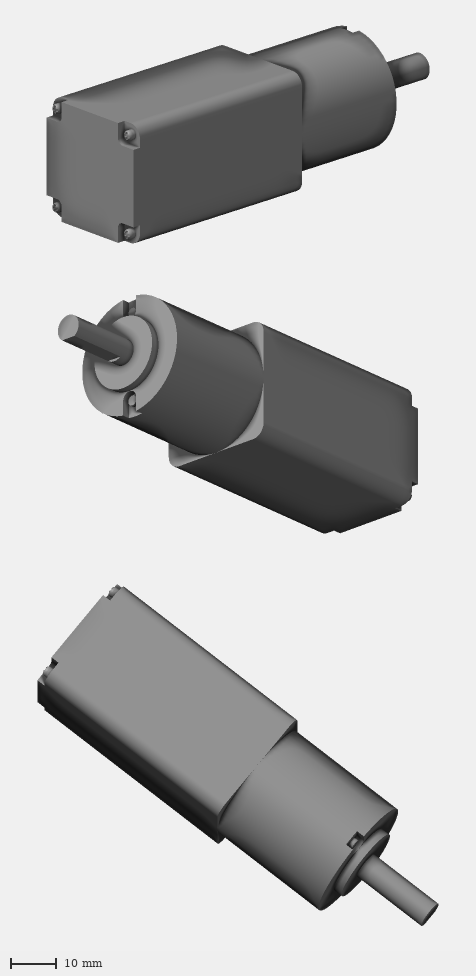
import cadquery as cq


housing_width = 28.0
housing_length = 50.5
housing_corner_radius = 3.1

gearbox_length = 28.3
pilot_diameter = 17.0
pilot_length = 2.1
shaft_diameter = 6.1
total_length = 98.9
flat_length = 15.0
flat_depth = 0.6

pocket_width = 4.9
pocket_depth = 2
pocket_corner_radius = 1.5
cover_screw_inset = 2.5
cover_head_diameter = 2.4
cover_head_height = 1.9
cover_head_rounding = 0.9
cross_length = 1.8
cross_width = 0.7
cross_depth = 0.7

gearbox_screw_offset = 10.5
gearbox_slot_width = 3.9
gearbox_slot_depth = 1.9
gearbox_head_diameter = 2.4
gearbox_head_height = 1

gearbox_end = housing_length + gearbox_length
pilot_end = gearbox_end + pilot_length
slot_floor = gearbox_end - gearbox_slot_depth


def section(y):
    """Workplane across the motor at Y = y, with its normal along +Y.

    Local y is global Z, local x is global -X.
    """
    return cq.Workplane(cq.Plane(origin=(0, y, 0), xDir=(-1, 0, 0), normal=(0, 1, 0)))


def make_housing():
    block = section(0).rect(housing_width, housing_width).extrude(housing_length)
    return block.edges("|Y").fillet(housing_corner_radius)


def make_gearbox():
    gearbox = section(housing_length).circle(housing_width / 2).extrude(gearbox_length)
    pilot = section(gearbox_end).circle(pilot_diameter / 2).extrude(pilot_length)
    return gearbox.union(pilot)


def make_shaft():
    shaft = section(pilot_end).circle(shaft_diameter / 2).extrude(total_length - pilot_end)
    flat_height = flat_depth - shaft_diameter / 2
    flat = (
        section(total_length - flat_length)
        .center(0, flat_height - shaft_diameter / 2)
        .rect(shaft_diameter, shaft_diameter)
        .extrude(flat_length)
    )
    return shaft.cut(flat)


def make_corner_pockets():
    """Four pockets that leave a rounded inner corner on the cover face."""
    return (
        section(0)
        .rect(housing_width, housing_width, forConstruction=True)
        .vertices()
        .rect(2 * pocket_width, 2 * pocket_width)
        .extrude(pocket_depth)
        .edges("|Y")
        .fillet(pocket_corner_radius)
    )


def make_cover_screws():
    """Four round-edged screw heads with a cross recess."""
    spacing = housing_width - 2 * cover_screw_inset
    head_top = pocket_depth - cover_head_height

    def at_screws(y):
        return section(y).rect(spacing, spacing, forConstruction=True).vertices()

    heads = at_screws(head_top).circle(cover_head_diameter / 2).extrude(cover_head_height)
    heads = heads.faces("<Y").edges().fillet(cover_head_rounding)
    for width, height in ((cross_length, cross_width), (cross_width, cross_length)):
        heads = heads.cut(at_screws(head_top).rect(width, height).extrude(cross_depth))
    return heads


def make_gearbox_slot(side):
    """Round-bottomed slot open outward in Z; side is +1 or -1."""
    center = side * gearbox_screw_offset
    round_end = (
        section(slot_floor).center(0, center).circle(gearbox_slot_width / 2).extrude(gearbox_slot_depth)
    )
    opening = (
        section(slot_floor)
        .center(0, center + side * gearbox_slot_width / 2)
        .rect(gearbox_slot_width, gearbox_slot_width)
        .extrude(gearbox_slot_depth)
    )
    return round_end.union(opening)


def make_gearbox_head(side):
    return (
        section(slot_floor)
        .center(0, side * gearbox_screw_offset)
        .circle(gearbox_head_diameter / 2)
        .extrude(gearbox_head_height)
    )


result = make_housing().union(make_gearbox()).union(make_shaft())
result = result.cut(make_corner_pockets()).union(make_cover_screws())
for side in (1, -1):
    result = result.cut(make_gearbox_slot(side)).union(make_gearbox_head(side))